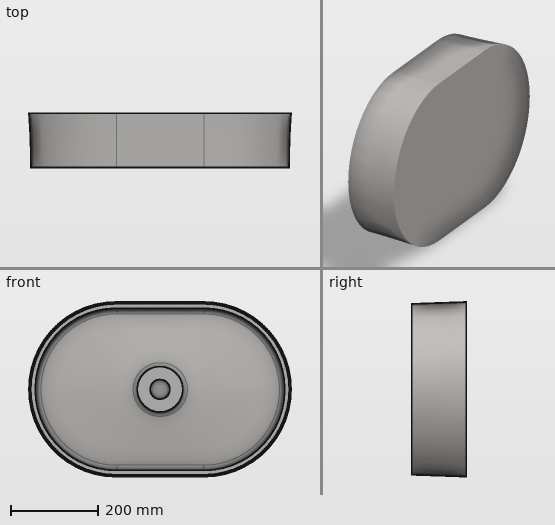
import cadquery as cq
import math

length = 600.0
height = 400.0
depth = 125.0
outer_draft = 2.0
top_y = depth / 2
underside_y = -depth / 2
outer_radius = height / 2
straight_half = (length - height) / 2

rim_width = 10.0
inner_draft = 3.0
floor_edge_depth = 40.0
dome_rise = 22.0
floor_fillet = 10.0
floor_y = underside_y + floor_edge_depth
mouth_radius = outer_radius - depth * math.tan(math.radians(outer_draft)) - rim_width
floor_radius = mouth_radius - floor_edge_depth * math.tan(math.radians(inner_draft))

boss_radius = 52.0
boss_fillet = 10.0

drain_radius = 22.5
drain_lip = 5.0
flare_depth = 15.0
lip_y = underside_y + drain_lip
plug_y = lip_y + flare_depth
plug_radius = drain_radius + flare_depth

pick_margin = 5.0


def stadium(y, radius):
    """Closed stadium outline in the plane at the given y, with the straight runs along X."""
    start = (-straight_half, radius)
    return (
        cq.Workplane("XZ", origin=(0, y, 0))
        .moveTo(*start)
        .lineTo(straight_half, radius)
        .threePointArc((straight_half + radius, 0), (straight_half, -radius))
        .lineTo(-straight_half, -radius)
        .threePointArc((-straight_half - radius, 0), start)
        .close()
    )


def make_outer_block():
    return stadium(top_y, outer_radius).extrude(depth, taper=outer_draft)


def make_recess():
    """Space under the basin, closed by a smooth dome that peaks on the drain axis."""
    floor_edge = stadium(floor_y, floor_radius).val()
    mouth_edge = stadium(underside_y, mouth_radius).val()
    walls = cq.Workplane(cq.Solid.makeLoft([floor_edge, mouth_edge], True)).faces("not |Y").vals()
    mouth = cq.Face.makeFromWires(mouth_edge)
    peak = cq.Vector(0, floor_y - dome_rise, 0)
    dome = cq.Face.makeNSidedSurface(floor_edge.Edges(), [peak])
    return cq.Solid.makeSolid(cq.Shell.makeShell([*walls, mouth, dome]))


def make_boss():
    """Tapered drain boss, wider where it runs into the solid behind the dome."""
    boss = cq.Workplane("XZ", origin=(0, underside_y, 0)).circle(boss_radius)
    return boss.extrude(-floor_edge_depth, taper=-inner_draft)


def make_drain_bore():
    """Revolved drain passage from the boss face up to the plug."""
    return (
        cq.Workplane("XY")
        .moveTo(0, underside_y)
        .lineTo(drain_radius, underside_y)
        .lineTo(drain_radius, lip_y)
        .lineTo(plug_radius, plug_y)
        .lineTo(0, plug_y)
        .close()
        .revolve(360, (0, 0, 0), (0, 1, 0))
    )


def make_plug():
    """Round plug that fills the drain from the flare up to the top face."""
    return cq.Workplane("XZ", origin=(0, top_y, 0)).circle(plug_radius).extrude(top_y - plug_y)


def edges_within(radius, start_y, end_y):
    """Selector for edges lying wholly inside a box around the drain axis."""
    return cq.selectors.BoxSelector(
        (-straight_half - radius, start_y, -radius),
        (straight_half + radius, end_y, radius),
        boundingbox=True,
    )


def make_basin():
    basin = make_outer_block().cut(cq.Workplane(make_recess()))
    floor_edges = edges_within(outer_radius, floor_y - pick_margin, floor_y + pick_margin)
    basin = basin.edges(floor_edges).fillet(floor_fillet)
    basin = basin.union(make_boss())
    boss_foot = edges_within(boss_radius + pick_margin, underside_y + pick_margin, floor_y)
    basin = basin.edges(boss_foot).fillet(boss_fillet)
    return basin.cut(make_drain_bore()).cut(make_plug()).solids()


basin = make_basin()
plug = make_plug()

result = cq.Compound.makeCompound([basin.val(), plug.val()])